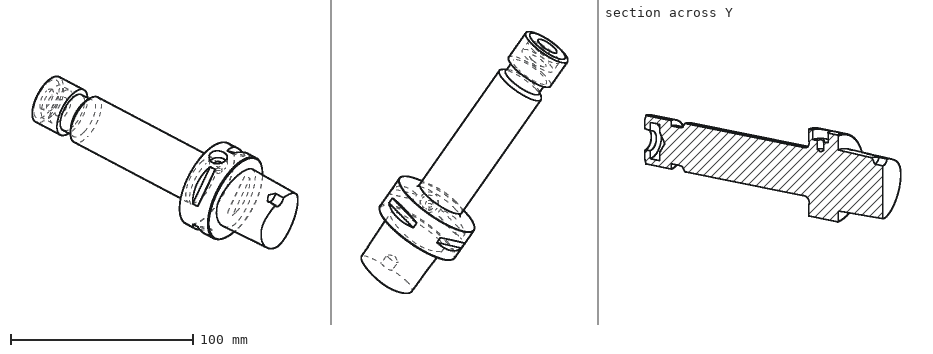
import cadquery as cq
import math

FULL_TURN = 360.0

nut_length = 17.8
body_start = 27.1
body_end = 106.0
flange_start = 110.0
flange_length = 20.0
shank_length = 30.0
flange_end = flange_start + flange_length
total_length = flange_end + shank_length

nut_diameter = 28.0
nut_face_diameter = 23.4
nut_chamfer_length = 0.75
neck_diameter = 22.0
neck_end = 24.15
shoulder_inner_diameter = 22.6
shoulder_start = 25.1
shoulder_outer_diameter = 26.8
shoulder_end = 26.5

mouth_diameter = 12.4
throat_diameter = 11.0
throat_depth = 4.0
cavity_diameter = 20.5
cavity_depth = 10.0
centre_tip_angle = 118.0

body_diameter = 28.0
relief_diameter = 27.8
relief_length = 1.0
transition_radius = 3.1
recess_floor = body_end + relief_length + transition_radius
recess_diameter = 36.6

flange_diameter = 50.0
flange_front_chamfer = 0.2
flange_rear_chamfer = 0.5

groove_count = 4
groove_first_angle = 45.0
groove_centre = flange_start + flange_length / 2
groove_floor_width = 3.4
groove_floor_radius = 22.3
groove_wall_angle = 30.0
groove_overcut = 1.0

pocket_centre = flange_start + 7.9
pocket_diameter = 10.0
pocket_depth = 5.5
pilot_diameter = 4.0
pilot_depth = 5.0
pilot_tip_angle = 118.0

shank_base_radius = 17.6
shank_end_radius = 16.85
lobe_eccentricity = 1.1
lobed_point_count = 48

keyway_radius = 3.7
keyway_length = 5.5
keyway_axis_height = 16.3
keyway_tip_angle = 118.0


def cone_height(diameter, tip_angle):
    return diameter / 2 / math.tan(math.radians(tip_angle / 2))


def revolved_body():
    transition_end_radius = relief_diameter / 2 + transition_radius
    fillet_centre_x = recess_floor - transition_radius
    fillet_offset = transition_radius * math.sqrt(0.5)
    fillet_middle = (fillet_centre_x + fillet_offset, transition_end_radius - fillet_offset)
    return (
        cq.Workplane("XY")
        .moveTo(0, 0)
        .lineTo(0, nut_face_diameter / 2)
        .lineTo(nut_chamfer_length, nut_diameter / 2)
        .lineTo(nut_length, nut_diameter / 2)
        .lineTo(nut_length, neck_diameter / 2)
        .lineTo(neck_end, neck_diameter / 2)
        .lineTo(shoulder_start, shoulder_inner_diameter / 2)
        .lineTo(shoulder_end, shoulder_outer_diameter / 2)
        .lineTo(body_start, body_diameter / 2)
        .lineTo(body_end, body_diameter / 2)
        .lineTo(body_end, relief_diameter / 2)
        .lineTo(fillet_centre_x, relief_diameter / 2)
        .threePointArc(fillet_middle, (recess_floor, transition_end_radius))
        .lineTo(flange_start, recess_diameter / 2)
        .lineTo(flange_start, flange_diameter / 2 - flange_front_chamfer)
        .lineTo(flange_start + flange_front_chamfer, flange_diameter / 2)
        .lineTo(flange_end - flange_rear_chamfer, flange_diameter / 2)
        .lineTo(flange_end, flange_diameter / 2 - flange_rear_chamfer)
        .lineTo(flange_end, 0)
        .close()
        .revolve(FULL_TURN, (0, 0, 0), (1, 0, 0))
    )


def nut_cavity():
    tip = cavity_depth + cone_height(throat_diameter, centre_tip_angle)
    return (
        cq.Workplane("XY")
        .moveTo(0, 0)
        .lineTo(0, mouth_diameter / 2)
        .lineTo(throat_depth, throat_diameter / 2)
        .lineTo(throat_depth, cavity_diameter / 2)
        .lineTo(cavity_depth, cavity_diameter / 2)
        .lineTo(cavity_depth, throat_diameter / 2)
        .lineTo(tip, 0)
        .close()
        .revolve(FULL_TURN, (0, 0, 0), (1, 0, 0))
    )


def lobed_point(mean_radius, angle):
    """Point of the three-lobed curve in (Y, Z), with one lobe pointing to -Z."""
    e = lobe_eccentricity
    along = mean_radius * math.cos(angle) - 2 * e * math.cos(2 * angle) + e * math.cos(4 * angle)
    across = mean_radius * math.sin(angle) + 2 * e * math.sin(2 * angle) + e * math.sin(4 * angle)
    return (across, along)


def lobed_wire(mean_radius, x):
    step = 2 * math.pi / lobed_point_count
    points = [lobed_point(mean_radius, index * step) for index in range(lobed_point_count)]
    return cq.Workplane("YZ", origin=(x, 0, 0)).spline(points, periodic=True).wire().val()


def shank():
    base = lobed_wire(shank_base_radius, flange_end)
    end = lobed_wire(shank_end_radius, total_length)
    return cq.Workplane(cq.Solid.makeLoft([base, end], True))


def gripper_groove(angle):
    height = flange_diameter / 2 - groove_floor_radius + groove_overcut
    half_floor = groove_floor_width / 2
    half_top = half_floor + height * math.tan(math.radians(groove_wall_angle))
    outline = [
        (groove_centre - half_floor, groove_floor_radius),
        (groove_centre + half_floor, groove_floor_radius),
        (groove_centre + half_top, groove_floor_radius + height),
        (groove_centre - half_top, groove_floor_radius + height),
    ]
    cutter = cq.Workplane("XZ").polyline(outline).close().extrude(flange_diameter / 2, both=True)
    return cutter.rotate((0, 0, 0), (1, 0, 0), angle)


def stepped_hole():
    pocket_floor = flange_diameter / 2 - pocket_depth
    pilot_floor = pocket_floor - pilot_depth
    tip = pilot_floor - cone_height(pilot_diameter, pilot_tip_angle)
    return (
        cq.Workplane("XZ", origin=(pocket_centre, 0, 0))
        .moveTo(0, tip)
        .lineTo(pilot_diameter / 2, pilot_floor)
        .lineTo(pilot_diameter / 2, pocket_floor)
        .lineTo(pocket_diameter / 2, pocket_floor)
        .lineTo(pocket_diameter / 2, flange_diameter / 2)
        .lineTo(0, flange_diameter / 2)
        .close()
        .revolve(FULL_TURN, (0, 0, 0), (0, 1, 0))
    )


def keyway():
    start = total_length - keyway_length
    tip = start - cone_height(2 * keyway_radius, keyway_tip_angle)
    return (
        cq.Workplane("XY", origin=(0, 0, keyway_axis_height))
        .moveTo(tip, 0)
        .lineTo(start, keyway_radius)
        .lineTo(total_length, keyway_radius)
        .lineTo(total_length, 0)
        .close()
        .revolve(FULL_TURN, (0, 0, 0), (1, 0, 0))
    )


result = revolved_body().union(shank())
result = result.cut(nut_cavity())
for index in range(groove_count):
    result = result.cut(gripper_groove(groove_first_angle + index * FULL_TURN / groove_count))
result = result.cut(stepped_hole())
result = result.cut(keyway())